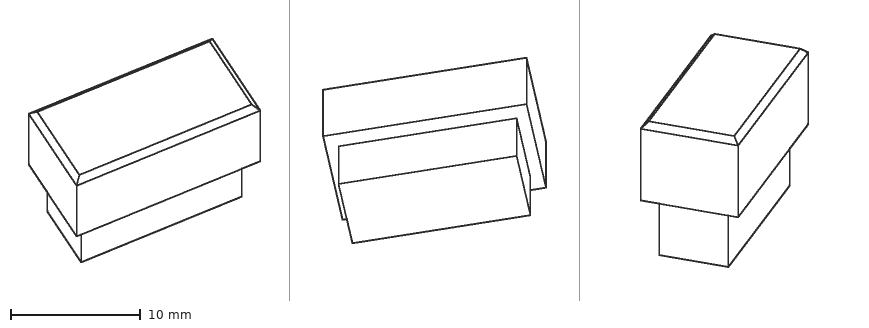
import cadquery as cq

head_width = 8.0
head_length = 16.0
chamfer = 0.5

stem_width = 5.68
stem_length = 14.0
stem_height = 5.1

total_height = 11.9
head_height = total_height - stem_height

stem = cq.Workplane("XY").rect(stem_width, stem_length).extrude(stem_height)

head = (
    cq.Workplane("XY")
    .workplane(offset=stem_height)
    .rect(head_width, head_length)
    .extrude(head_height)
    .faces(">Z")
    .chamfer(chamfer)
)

result = stem.union(head)